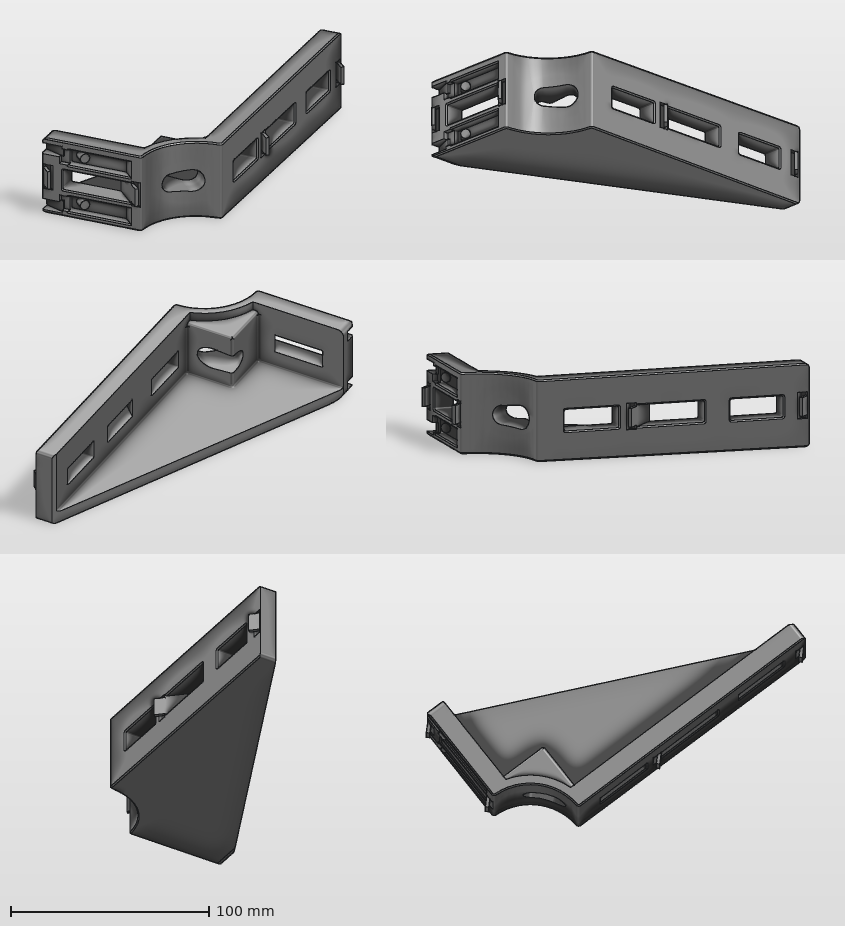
import cadquery as cq
import math

foot_length = 85.8
wall_length = 174.9
wall_thickness = 10.4
wall_end_width = 9.1
top_z = 21.5
bottom_z_foot = -20.2
bottom_z_end = -21.5
floor_z_foot = -14.1
floor_z_end = -15.0
floor_fillet = 1.6
outer_chamfer = 0.7
foot_round = 3.4
end_round = 2.5
foot_front_chamfer = 0.9

corner_radius = 30.4
corner_wall_radius = 35.2
corner_edge_round = 1.6
block_side = 36.8
block_top_z = 16.6
block_round = 1.6

hole_low_radius = 5.0
hole_high_radius = 6.0
hole_low_end = -7.5
hole_high_end = 14.5
hole_reach = 71.5

opening_draft = 2.0
opening_corner_round = 0.7
mouth_bevel = 0.7
mouth_bevel_angle = 45.0
slot_half_height = 5.2
foot_slot = (12.0, 39.3)
wall_slots = ((14.1, 41.5), (55.8, 81.4), (101.2, 129.5))
wall_sloped_slot = 1

tab_half_height = 4.8
tab_width = 2.5
tab_reach = 4.0
tab_inset = 1.0
notch_half_height = 6.8
notch_depth = 2.7

pocket_low_z = 8.8
pocket_high_z = 17.2
pocket_depth = 5.0
pocket_start = 9.8
pocket_end = 49.7
pocket_floor_start = 14.7
pocket_ledge_depth = 2.7
peg_radius = 2.5
peg_place = 20.5
peg_reach = 2.3
ramp_low_z = 12.5
ramp_high_z = 18.6
ramp_depth = 5.9
ramp_end_depth = 1.5
ramp_length = 11.5

margin = 17.9
overlap = 1.8


def slab_between(low_foot, low_end, high):
    """A slab as wide as the part, whose underside falls from the foot to the wall end."""
    fall = (low_end - low_foot) / wall_length
    return (
        cq.Workplane("YZ", origin=(-foot_length - margin, 0, 0))
        .moveTo(-margin, low_foot - fall * margin)
        .lineTo(wall_length + margin, low_end + fall * margin)
        .lineTo(wall_length + margin, high)
        .lineTo(-margin, high)
        .close()
        .extrude(foot_length + 2 * margin)
    )


def prism(points, low, high):
    """A closed XY outline raised from low to high."""
    return cq.Workplane("XY", origin=(0, 0, low)).polyline(points).close().extrude(high - low)


def corner_column(radius):
    """A tall round column about the square corner of the bracket."""
    return cq.Workplane("XY").circle(radius).extrude(top_z + margin, both=True)


def on_outer_edge(edge):
    """True for edges on the foot face, the concave corner or the wall face."""
    middle = edge.Center()
    near_foot = middle.y < outer_chamfer
    near_wall = middle.x > -outer_chamfer
    near_corner = math.hypot(middle.x, middle.y) < corner_radius + overlap
    return near_foot or near_wall or near_corner


def make_body():
    outline = [
        (0, 0),
        (0, wall_length),
        (-wall_end_width, wall_length),
        (-foot_length, wall_thickness),
        (-foot_length, 0),
    ]
    body = prism(outline, bottom_z_end - margin, top_z)
    body = body.intersect(slab_between(bottom_z_foot, bottom_z_end, top_z))
    body = body.cut(corner_column(corner_radius))
    tips = [(0, corner_radius), (-corner_radius, 0)]
    for x, y in tips:
        tip = cq.selectors.BoxSelector(
            (x - overlap, y - overlap, -overlap), (x + overlap, y + overlap, overlap)
        )
        body = body.edges("|Z").edges(tip).fillet(corner_edge_round)
    for face in (">Z", "<Z"):
        edges = [edge for edge in body.faces(face).edges().vals() if on_outer_edge(edge)]
        body = body.newObject(edges).chamfer(outer_chamfer)
    return body


def corner_rounding(plane, place, radius, along, up):
    """Material outside a quarter round whose sharp corner is at place.

    along and up are +1 or -1 and point from the corner into the part.
    """
    arm = margin / 2
    square = (
        cq.Workplane(plane, origin=place)
        .moveTo(-along * arm, -up * arm)
        .lineTo(radius * along, -up * arm)
        .lineTo(radius * along, 0)
        .radiusArc((0, radius * up), radius * along * up)
        .lineTo(-along * arm, radius * up)
        .close()
    )
    return square.extrude(2 * wall_length, both=True)


body = make_body()
for z, up in ((top_z, -1), (bottom_z_foot, 1)):
    body = body.cut(corner_rounding("XZ", (-foot_length, 0, z), foot_round, 1, up))
for z, up in ((top_z, -1), (bottom_z_end, 1)):
    body = body.cut(corner_rounding("YZ", (0, wall_length, z), end_round, -1, up))
front_left = [
    (-foot_length, 0),
    (-foot_length + foot_front_chamfer, 0),
    (-foot_length, foot_front_chamfer),
]
body = body.cut(prism(front_left, -top_z, top_z))


def square_behind_corner(far_x):
    """A square outline between the inner faces of foot and wall."""
    near = wall_thickness
    return [(-near, near), (-near, -far_x), (far_x, -far_x), (far_x, near)]


def make_cavity():
    far_x = -foot_length - margin
    far_y = wall_length + margin
    outline = [
        (-wall_thickness, block_side),
        (-wall_thickness, far_y),
        (far_x, far_y),
        (far_x, wall_thickness),
        (-block_side, wall_thickness),
        (-block_side, block_side),
    ]
    cavity = prism(outline, bottom_z_end, top_z + margin)
    cavity = cavity.intersect(slab_between(floor_z_foot, floor_z_end, top_z + margin))
    block_edges = cq.selectors.BoxSelector(
        (-block_side - overlap, 0, -top_z), (0, block_side + overlap, top_z + margin)
    )
    cavity = cavity.edges("|Z").edges(block_edges).fillet(block_round)
    cavity = cavity.faces("<Z").edges("not(<X or >Y)").fillet(floor_fillet)

    above = prism(square_behind_corner(-block_side - block_round), block_top_z, top_z + margin)
    across = corner_rounding("XZ", (-block_side, 0, block_top_z), block_round, 1, -1)
    along = corner_rounding("YZ", (0, block_side, block_top_z), block_round, -1, -1)
    reach = prism(square_behind_corner(-block_side - margin), floor_z_foot, top_z + margin)
    cavity = cavity.union(above).union(across.union(along).intersect(reach))
    return cavity.cut(corner_column(corner_wall_radius))


body = body.cut(make_cavity())


def make_hole():
    plane = cq.Plane(origin=(0, 0, 0), xDir=(1, 1, 0), normal=(-1, 1, 0))
    low_center = hole_low_end + hole_low_radius
    high_center = hole_high_end - hole_high_radius
    tilt = math.asin((hole_high_radius - hole_low_radius) / (high_center - low_center))
    low_x = low_center - hole_low_radius * math.sin(tilt)
    low_y = hole_low_radius * math.cos(tilt)
    high_x = high_center - hole_high_radius * math.sin(tilt)
    high_y = hole_high_radius * math.cos(tilt)
    return (
        cq.Workplane(plane)
        .moveTo(low_x, low_y)
        .lineTo(high_x, high_y)
        .threePointArc((hole_high_end, 0), (high_x, -high_y))
        .lineTo(low_x, -low_y)
        .threePointArc((hole_low_end, 0), (low_x, low_y))
        .close()
        .extrude(hole_reach)
    )


body = body.cut(make_hole())


def foot_x(distance):
    return distance - foot_length


def move_to_wall(shape):
    return shape.mirror((1, 1, 0)).translate((0, wall_length - foot_length, 0))


def face_box(start, end, depth, low, high):
    """A block sunk to this depth into the mounting face."""
    corners = [
        (foot_x(start), -overlap),
        (foot_x(end), -overlap),
        (foot_x(end), depth),
        (foot_x(start), depth),
    ]
    return prism(corners, low, high)


def flaring_block(length, height, corner, depth, taper):
    """A round-cornered block growing from its given size at this depth to the surface."""
    far_end = cq.Plane(origin=(0, depth, 0), xDir=(1, 0, 0), normal=(0, -1, 0))
    outline = cq.Sketch().rect(length, height).vertices().fillet(corner)
    return cq.Workplane(far_end).placeSketch(outline).extrude(depth, taper=-taper)


def tapered_opening(start, end, middle_z, height, depth):
    """An opening with draft and a bevelled mouth; start, end and height are taken at full depth."""
    length = end - start
    growth = 2 * (depth - mouth_bevel) * math.tan(math.radians(opening_draft))
    opening = flaring_block(length, height, opening_corner_round, depth, opening_draft)
    mouth = flaring_block(
        length + growth, height + growth, opening_corner_round, mouth_bevel, mouth_bevel_angle
    )
    return opening.union(mouth).translate((foot_x((start + end) / 2), 0, middle_z))


def before_slope(mouth_end):
    """Space on the free-end side of a 45 degree face that meets the surface at mouth_end."""
    deep = 2 * wall_thickness
    points = [
        (foot_x(-margin), -deep),
        (foot_x(mouth_end + deep), -deep),
        (foot_x(mouth_end - deep), deep),
        (foot_x(-margin), deep),
    ]
    return prism(points, -top_z, top_z)


def make_slot(start, end, sloped):
    """A through slot; a sloped one has its inner end leaning towards the corner at the mouth."""
    height = 2 * slot_half_height
    far_end = end + wall_thickness if sloped else end
    slot = tapered_opening(start, far_end, 0, height, wall_thickness)
    if sloped:
        slot = slot.intersect(before_slope(far_end))
    return slot


def make_notch(start):
    """A shallow recess beside a tab, sloping up to the face at 45 degrees."""
    points = [
        (foot_x(start), 0),
        (foot_x(start), notch_depth),
        (foot_x(start + tab_width), notch_depth),
        (foot_x(start + tab_width + notch_depth), 0),
    ]
    return prism(points, -notch_half_height, notch_half_height)


def make_tab(start):
    """A 45 degree tongue with a square end, rooted in the side of its notch."""
    half_width = tab_width / 2
    points = [
        (foot_x(start), tab_width),
        (foot_x(start), 0),
        (foot_x(start + tab_reach), -tab_reach),
        (foot_x(start + tab_reach + half_width), half_width - tab_reach),
    ]
    return prism(points, -tab_half_height, tab_half_height)


def make_pocket():
    """The upper pocket, with the shallow ledge and ramp that lead into it from the free end."""
    middle_z = (pocket_low_z + pocket_high_z) / 2
    height = pocket_high_z - pocket_low_z
    floor = tapered_opening(pocket_floor_start, pocket_end, middle_z, height, pocket_depth)
    floor = floor.intersect(before_slope(pocket_end))
    ledge = face_box(ramp_length, pocket_floor_start, pocket_ledge_depth, pocket_low_z, pocket_high_z)
    step = face_box(pocket_start, ramp_length, pocket_ledge_depth, pocket_low_z, ramp_low_z)
    ramp_points = [
        (foot_x(-overlap), -overlap),
        (foot_x(-overlap), ramp_depth),
        (foot_x(0), ramp_depth),
        (foot_x(ramp_length), ramp_end_depth),
        (foot_x(ramp_length), -overlap),
    ]
    ramp = prism(ramp_points, ramp_low_z, ramp_high_z)
    return floor.union(ledge).union(step).union(ramp)


def make_peg():
    """A round peg leaning 45 degrees out of the upper pocket's floor."""
    root = cq.Plane(
        origin=(
            foot_x(peg_place - overlap),
            pocket_depth + overlap,
            (pocket_low_z + pocket_high_z) / 2,
        ),
        xDir=(0, 0, 1),
        normal=(1, -1, 0),
    )
    return cq.Workplane(root).circle(peg_radius).extrude((peg_reach + overlap) * math.sqrt(2))


pocket = make_pocket()
peg = make_peg()
body = body.cut(pocket).cut(pocket.mirror("XY"))
body = body.union(peg).union(peg.mirror("XY"))
body = body.cut(make_slot(*foot_slot, True))
for start in (tab_inset, foot_slot[1] + wall_thickness):
    body = body.cut(make_notch(start))
    body = body.union(make_tab(start))

for number, (start, end) in enumerate(wall_slots):
    body = body.cut(move_to_wall(make_slot(start, end, number == wall_sloped_slot)))
for start in (tab_inset, wall_slots[wall_sloped_slot][1] + wall_thickness):
    body = body.cut(move_to_wall(make_notch(start)))
    body = body.union(move_to_wall(make_tab(start)))

result = body